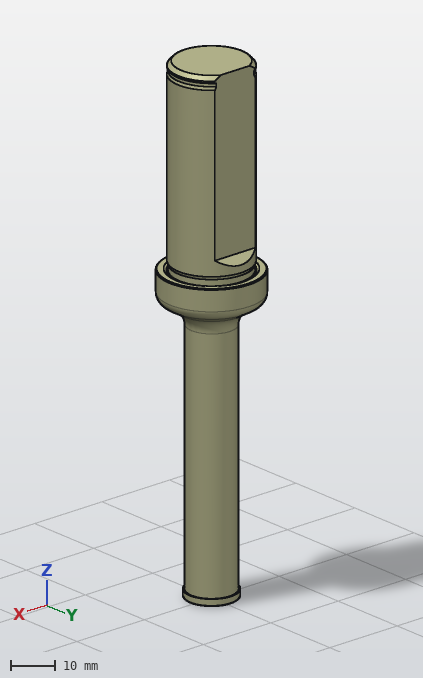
import cadquery as cq
import math

total_height = 129.0
tip_face_z = 0.4
tip_top_z = 2.2
neck_z = 65.8
collar_bottom_z = 73.7
collar_top_z = 79.1
relief_floor_z = 78.7
relief_neck_z = 80.2
relief_top_z = 81.0

tip_point_diameter = 2.8
tip_diameter = 12.9
stem_diameter = 12.1
collar_diameter = 25.0
shank_diameter = 20.0
groove_diameter = 19.5
relief_floor_diameter = 20.3
relief_rim_diameter = 21.4
shank_end_diameter = 18.0

tip_corner = 0.3
collar_chamfer = 0.3
flare_angle = 30.0
collar_blend_radius = 2.7

end_chamfer_height = 1.0
groove_start_depth = 1.4
groove_end_depth = 2.5
groove_taper_end_depth = 3.2
groove_wall_height = 0.3

flat_offset = 8.0
flat_bottom_z = 84.9

tip_radius = tip_diameter / 2
stem_radius = stem_diameter / 2
collar_radius = collar_diameter / 2
shank_radius = shank_diameter / 2
groove_radius = groove_diameter / 2


def revolve_outline(outline):
    """Revolve a closed (radius, height) outline about the Z axis."""
    return outline.close().revolve(360, (0, 0, 0), (0, 1, 0))


def arc_point(center, radius, degrees):
    """Point on a circle in the (radius, height) plane."""
    angle = math.radians(degrees)
    return (center[0] + radius * math.cos(angle), center[1] + radius * math.sin(angle))


def make_tip():
    """Short cutting tip with a shallow conical end."""
    return revolve_outline(
        cq.Workplane("XZ")
        .moveTo(0, 0)
        .lineTo(tip_point_diameter / 2, 0)
        .lineTo(tip_radius - tip_corner, tip_face_z)
        .lineTo(tip_radius, tip_face_z + tip_corner)
        .lineTo(tip_radius, tip_top_z)
        .lineTo(0, tip_top_z)
    )


def make_turned_holder():
    """Stem, flared collar and grooved shank as one turned profile."""
    convex_center = (collar_radius - collar_blend_radius, collar_bottom_z)
    convex_sweep = 90 - flare_angle
    convex_mid = arc_point(convex_center, collar_blend_radius, -convex_sweep / 2)
    cone_top = arc_point(convex_center, collar_blend_radius, -convex_sweep)

    cone_cos = math.cos(math.radians(flare_angle))
    cone_sin = math.sin(math.radians(flare_angle))
    neck_distance = (neck_z - cone_top[1]) * cone_cos - (stem_radius - cone_top[0]) * cone_sin
    neck_blend_radius = -neck_distance / (1 - cone_sin)
    neck_center = (stem_radius + neck_blend_radius, neck_z)
    cone_bottom_direction = 90 + flare_angle
    cone_bottom = arc_point(neck_center, neck_blend_radius, cone_bottom_direction)
    neck_mid = arc_point(neck_center, neck_blend_radius, (180 + cone_bottom_direction) / 2)

    return revolve_outline(
        cq.Workplane("XZ")
        .moveTo(0, tip_top_z)
        .lineTo(stem_radius, tip_top_z)
        .lineTo(stem_radius, neck_z)
        .threePointArc(neck_mid, cone_bottom)
        .lineTo(*cone_top)
        .threePointArc(convex_mid, (collar_radius, collar_bottom_z))
        .lineTo(collar_radius, collar_top_z - collar_chamfer)
        .lineTo(collar_radius - collar_chamfer, collar_top_z)
        .lineTo(relief_rim_diameter / 2, collar_top_z)
        .lineTo(relief_floor_diameter / 2, relief_floor_z)
        .lineTo(groove_radius, relief_floor_z)
        .lineTo(groove_radius, relief_neck_z)
        .lineTo(shank_radius, relief_top_z)
        .lineTo(shank_radius, total_height - groove_taper_end_depth)
        .lineTo(groove_radius, total_height - groove_end_depth)
        .lineTo(groove_radius, total_height - groove_start_depth - groove_wall_height)
        .lineTo(shank_radius, total_height - groove_start_depth)
        .lineTo(shank_radius, total_height - end_chamfer_height)
        .lineTo(shank_end_diameter / 2, total_height)
        .lineTo(0, total_height)
    )


def make_flat_cutter():
    """Prism that removes the flat and its 45 degree run-out."""
    cut_depth = collar_radius - flat_offset
    return (
        cq.Workplane("YZ")
        .moveTo(flat_offset, flat_bottom_z)
        .lineTo(flat_offset, total_height)
        .lineTo(collar_radius, total_height)
        .lineTo(collar_radius, flat_bottom_z - cut_depth)
        .close()
        .extrude(collar_radius, both=True)
    )


tip = make_tip()
holder = make_turned_holder().cut(make_flat_cutter())

result = cq.Compound.makeCompound([tip.val(), holder.val()])